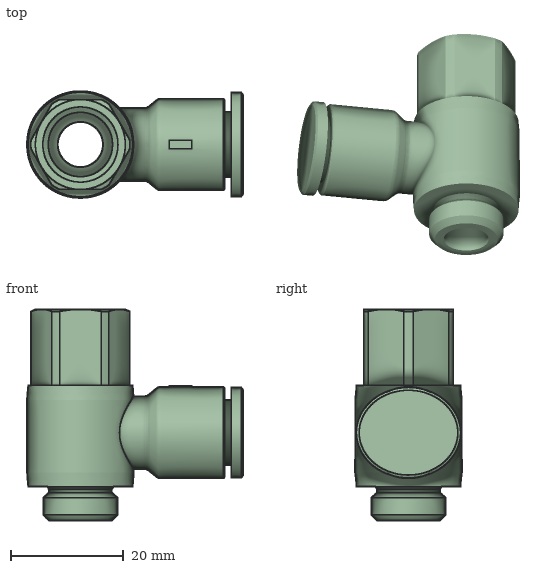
import cadquery as cq
import math

OVERALL_LENGTH = 38.4

THROUGH_RADIUS = 4.0
STEM_RADIUS = 6.6
STEM_CHAMFER = 1.05
GROOVE_RADIUS = 5.6
GROOVE_FLARE_RADIUS = 5.88
STEM_TOP = 4.07
GROOVE_BOTTOM = 5.0
GROOVE_TOP = 5.55

BODY_DIAMETER = 19.0
BODY_RADIUS = BODY_DIAMETER / 2
BODY_END_RADIUS = 9.3
BODY_BOTTOM = 6.03
BODY_TOP = 24.0
BODY_TAPER_HEIGHT = 2.55

HEAD_TOP = 37.5
HEAD_SIDES = 6
HEAD_ACROSS_FLATS = 15.97
HEAD_CORNER_RADIUS = 8.8
HEAD_BEVEL_HEIGHT = 0.4
PORT_RADIUS = 5.72
PORT_CHAMFER = 0.95

ARM_HEIGHT = 15.63
ARM_NECK_RADIUS = 6.5
ARM_RADIUS = 8.15
SHOULDER_START = 11.83
SHOULDER_END = 13.85
SHOULDER_BLEND = 1.1
ARM_END = 25.65
ARM_CHAMFER = 0.25
SLEEVE_RADIUS = 5.85

COLLAR_START = 26.75
COLLAR_END = OVERALL_LENGTH - BODY_RADIUS
COLLAR_HALF_WIDTH = 9.25
COLLAR_HALF_HEIGHT = 8.03
COLLAR_CHAMFER_LENGTH = 0.5
COLLAR_CHAMFER_DEPTH = 0.35

TAB_START = 15.82
TAB_LENGTH = 4.0
TAB_WIDTH = 1.55
TAB_RISE = 0.15


def cylinder(radius, bottom, top):
    """Upright cylinder on the Z axis."""
    return cq.Workplane("XY").workplane(offset=bottom).circle(radius).extrude(top - bottom)


def make_stem_and_body():
    """Plug, relief groove and round body as one turned shape."""
    profile = [
        (0, 0),
        (STEM_RADIUS - STEM_CHAMFER, 0),
        (STEM_RADIUS, STEM_CHAMFER),
        (STEM_RADIUS, STEM_TOP),
        (GROOVE_RADIUS, GROOVE_BOTTOM),
        (GROOVE_RADIUS, GROOVE_TOP),
        (GROOVE_FLARE_RADIUS, BODY_BOTTOM),
        (BODY_END_RADIUS, BODY_BOTTOM),
        (BODY_RADIUS, BODY_BOTTOM + BODY_TAPER_HEIGHT),
        (BODY_RADIUS, BODY_TOP - BODY_TAPER_HEIGHT),
        (BODY_END_RADIUS, BODY_TOP),
        (0, BODY_TOP),
    ]
    return cq.Workplane("XZ").polyline(profile).close().revolve(360, (0, 0), (0, 1))


def make_head():
    """Hexagon with rounded corners and a conical bevel around its top face."""
    across_corners = HEAD_ACROSS_FLATS / math.cos(math.pi / HEAD_SIDES)
    hexagon = (
        cq.Workplane("XY")
        .workplane(offset=BODY_TOP)
        .polygon(HEAD_SIDES, across_corners)
        .extrude(HEAD_TOP - BODY_TOP)
    )
    bevel_depth = HEAD_CORNER_RADIUS - HEAD_ACROSS_FLATS / 2
    turned_blank = (
        cylinder(HEAD_CORNER_RADIUS, BODY_TOP, HEAD_TOP)
        .faces(">Z")
        .edges()
        .chamfer(HEAD_BEVEL_HEIGHT, bevel_depth)
    )
    return hexagon.intersect(turned_blank)


def make_arm():
    """Neck, blended shoulder, tube socket and sleeve turned about the arm axis."""
    profile = [
        (0, 0),
        (0, ARM_NECK_RADIUS),
        (SHOULDER_START, ARM_NECK_RADIUS),
        (SHOULDER_END, ARM_RADIUS),
        (ARM_END - ARM_CHAMFER, ARM_RADIUS),
        (ARM_END, ARM_RADIUS - ARM_CHAMFER),
        (ARM_END, SLEEVE_RADIUS),
        (COLLAR_START, SLEEVE_RADIUS),
        (COLLAR_START, 0),
    ]
    arm = cq.Workplane("XZ").polyline(profile).close().revolve(360, (0, 0), (1, 0))
    margin = SHOULDER_BLEND / 2
    for shoulder_edge in (SHOULDER_START, SHOULDER_END):
        near_edge = cq.selectors.BoxSelector(
            (shoulder_edge - margin, -ARM_RADIUS, -ARM_RADIUS),
            (shoulder_edge + margin, ARM_RADIUS, ARM_RADIUS),
        )
        arm = arm.edges("%CIRCLE").edges(near_edge).fillet(SHOULDER_BLEND)
    return arm.translate((0, 0, ARM_HEIGHT))


def make_collar():
    """Oval disc, wider along Y than it is tall, chamfered on its outer rim."""
    return (
        cq.Workplane("YZ", origin=(COLLAR_START, 0, ARM_HEIGHT))
        .ellipse(COLLAR_HALF_WIDTH, COLLAR_HALF_HEIGHT)
        .extrude(COLLAR_END - COLLAR_START)
        .faces(">X")
        .edges()
        .chamfer(COLLAR_CHAMFER_DEPTH, COLLAR_CHAMFER_LENGTH)
    )


def make_tab():
    """Rectangular tab rising from inside the arm to just above its top."""
    height = ARM_RADIUS + TAB_RISE
    return (
        cq.Workplane("XY")
        .box(TAB_LENGTH, TAB_WIDTH, height, centered=(False, True, False))
        .translate((TAB_START, 0, ARM_HEIGHT))
    )


def make_bore():
    """Through hole opening into the wider head port, with a chamfered mouth."""
    profile = [
        (0, 0),
        (THROUGH_RADIUS, 0),
        (THROUGH_RADIUS, BODY_TOP),
        (PORT_RADIUS, BODY_TOP),
        (PORT_RADIUS, HEAD_TOP - PORT_CHAMFER),
        (PORT_RADIUS + PORT_CHAMFER, HEAD_TOP),
        (0, HEAD_TOP),
    ]
    return cq.Workplane("XZ").polyline(profile).close().revolve(360, (0, 0), (0, 1))


result = (
    make_stem_and_body()
    .union(make_head())
    .union(make_arm())
    .union(make_collar())
    .union(make_tab())
    .cut(make_bore())
)